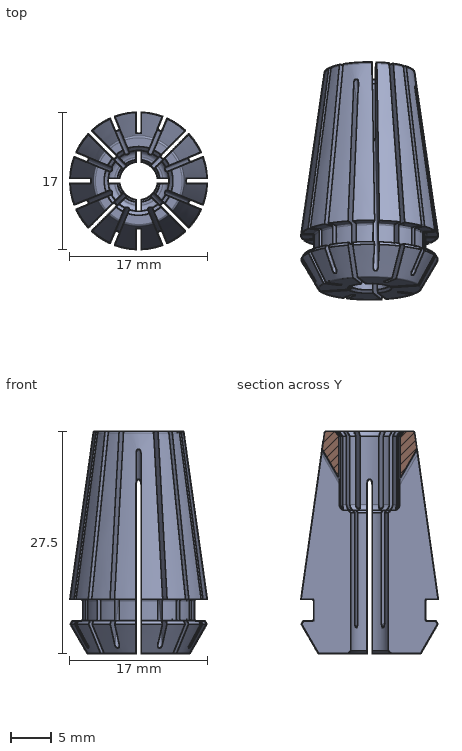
import cadquery as cq
import math


height = 27.5
max_radius = 8.5

taper_half_angle = 8.0
taper_base_z = 6.7
top_round = 0.25

groove_radius = 6.93
groove_round = 0.18
head_top_z = 4.05
head_radius = 8.44
head_rim_drop = 0.4
head_rim_inset = 0.25
head_half_angle = 30.0
bottom_round = 0.15

clamp_radius = 2.35
clamp_edge_chamfer = 0.28
bottom_mouth_chamfer = 0.35
step_z = 17.7
rear_radius = 3.75
rear_corner_radius = 0.75
rear_mouth_chamfer = 0.5
rear_mouth_depth = 0.65

slot_width = 0.6
slot_reach = 60.0
lower_slot_end = (5.96, 25.38)
lower_slot_angle = 60.0
long_slot_end = (4.0, 0.0)
long_slot_angle = 63.0
short_slot_end = (6.75, 0.6)
short_slot_angle = 79.5
lower_slot_count = 4
long_slot_count = 4
short_slot_count = 8


def revolved(outline):
    return outline.close().revolve(360, (0, 0, 0), (0, 1, 0))


def collet_blank():
    taper_top_radius = max_radius - (height - taper_base_z) * math.tan(math.radians(taper_half_angle))
    rim_z = head_top_z - head_rim_drop
    head_bottom_radius = head_radius - rim_z * math.tan(math.radians(head_half_angle))
    blank = revolved(
        cq.Workplane("XZ")
        .moveTo(0, 0)
        .lineTo(head_bottom_radius, 0)
        .lineTo(head_radius, rim_z)
        .lineTo(head_radius - head_rim_inset, head_top_z)
        .lineTo(groove_radius, head_top_z)
        .lineTo(groove_radius, taper_base_z)
        .lineTo(max_radius, taper_base_z)
        .lineTo(taper_top_radius, height)
        .lineTo(0, height)
    )
    groove_corners = cq.selectors.BoxSelector(
        (-max_radius, -max_radius, head_top_z - groove_round),
        (max_radius, max_radius, taper_base_z + groove_round),
    )
    blank = blank.edges(">Z").fillet(top_round)
    blank = blank.edges("<Z").fillet(bottom_round)
    innermost = cq.selectors.RadiusNthSelector(0)
    return blank.edges(groove_corners).edges(innermost).fillet(groove_round)


def bore():
    corner_z = step_z + rear_corner_radius
    corner_start_radius = rear_radius - rear_corner_radius
    mid_offset = math.sin(math.pi / 4) * rear_corner_radius
    corner_mid = (corner_start_radius + mid_offset, corner_z - mid_offset)
    return revolved(
        cq.Workplane("XZ")
        .moveTo(0, 0)
        .lineTo(clamp_radius + bottom_mouth_chamfer, 0)
        .lineTo(clamp_radius, bottom_mouth_chamfer)
        .lineTo(clamp_radius, step_z - clamp_edge_chamfer)
        .lineTo(clamp_radius + clamp_edge_chamfer, step_z)
        .lineTo(corner_start_radius, step_z)
        .threePointArc(corner_mid, (rear_radius, corner_z))
        .lineTo(rear_radius, height - rear_mouth_depth)
        .lineTo(rear_radius + rear_mouth_chamfer, height)
        .lineTo(0, height)
    )


def slot_cutter(floor_end, floor_angle, opens_up):
    """Round-floored saw cut along the XZ plane, filling the open side of its floor."""
    side = 1 if opens_up else -1
    run = math.cos(math.radians(floor_angle))
    rise = math.sin(math.radians(floor_angle))
    open_direction = (rise, 0, side * run)
    floor_direction = (run, 0, -side * rise)
    floor_frame = cq.Plane(
        origin=(floor_end[0], 0, floor_end[1]),
        xDir=open_direction,
        normal=floor_direction,
    )
    return (
        cq.Workplane(floor_frame)
        .center(slot_reach / 2, 0)
        .slot2D(slot_reach, slot_width)
        .extrude(slot_reach, both=True)
    )


def cut_slots(body, floor_end, floor_angle, opens_up, count, first_angle):
    cutter = slot_cutter(floor_end, floor_angle, opens_up)
    for index in range(count):
        angle = first_angle + index * 360 / count
        body = body.cut(cutter.rotate((0, 0, 0), (0, 0, 1), angle))
    return body


result = collet_blank().cut(bore())
result = cut_slots(result, lower_slot_end, lower_slot_angle, False, lower_slot_count, 0)
result = cut_slots(result, long_slot_end, long_slot_angle, True, long_slot_count, 180 / long_slot_count)
result = cut_slots(result, short_slot_end, short_slot_angle, True, short_slot_count, 180 / short_slot_count)